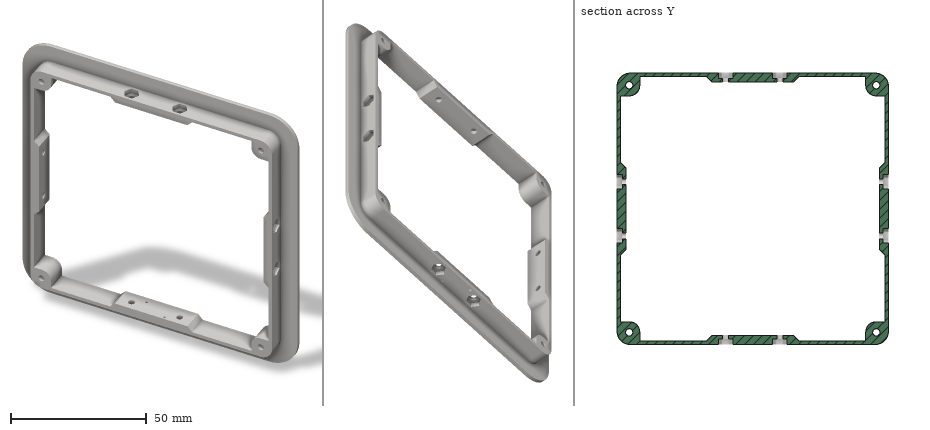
import cadquery as cq
frame_size = 114.0
frame_depth = 8.5
flange_thickness = 1.5
flange_overhang = 7.0
flange_corner_radius = 12.0

wall_thickness = 1.5
collar_size = frame_size - 2 * flange_overhang
collar_corner_radius = flange_corner_radius - flange_overhang
collar_depth = frame_depth - flange_thickness
opening_size = collar_size - 2 * wall_thickness

boss_hole_diameter = 2.5
boss_hole_inset = 4.6
boss_radius = 4.0
boss_centre = collar_size / 2 - boss_hole_inset

pad_height = 2.0
pad_base_length = 34.0
pad_top_length = 30.0
padded_wall_thickness = wall_thickness + pad_height

screw_diameter = 2.5
screw_spacing = 20.0
nut_corner_diameter = 6.0
nut_pocket_depth = 2.0
screw_y = collar_depth / 2

pin_diameter = 1.0
pin_spacing_x = 10.0
pin_spacing_y = 5.0

SIDE_ANGLES = (0, 90, 180, 270)


def rounded_plate(size, radius, start_y, depth):
    """Square plate with rounded corners, extending from start_y toward +Y."""
    return (
        cq.Workplane("XY")
        .box(size, depth, size, centered=(True, False, True))
        .edges("|Y")
        .fillet(radius)
        .translate((0, start_y, 0))
    )


def around_frame(shape, angle):
    """Turn a shape about the frame centre to another side or corner."""
    return shape.rotate((0, 0, 0), (0, 1, 0), angle)


def pad():
    """Bevelled pad on the inner face of the lower wall."""
    base_z = -opening_size / 2
    overlap = wall_thickness / 2
    return (
        cq.Workplane("XZ")
        .moveTo(-pad_base_length / 2, base_z - overlap)
        .lineTo(-pad_base_length / 2, base_z)
        .lineTo(-pad_top_length / 2, base_z + pad_height)
        .lineTo(pad_top_length / 2, base_z + pad_height)
        .lineTo(pad_base_length / 2, base_z)
        .lineTo(pad_base_length / 2, base_z - overlap)
        .close()
        .extrude(-frame_depth)
    )


def corner_boss():
    """Boss filling one inner corner, rounded toward the opening."""
    inner_edge = boss_centre - boss_radius
    size = opening_size / 2 + wall_thickness / 2 - inner_edge
    return (
        cq.Workplane("XY")
        .box(size, frame_depth, size, centered=False)
        .edges("|Y and <X and <Z")
        .fillet(boss_radius)
        .translate((inner_edge, 0, inner_edge))
    )


def boss_hole():
    """Screw hole through one corner boss."""
    return (
        cq.Workplane("XZ")
        .center(boss_centre, boss_centre)
        .circle(boss_hole_diameter / 2)
        .extrude(-frame_depth)
    )


def screw_cutter():
    """Two screw holes through the lower wall and pad, with outer nut pockets."""
    outer = cq.Workplane("XY", origin=(0, screw_y, -collar_size / 2))
    centres = [(-screw_spacing / 2, 0), (screw_spacing / 2, 0)]
    holes = outer.pushPoints(centres).circle(screw_diameter / 2).extrude(padded_wall_thickness)
    pockets = outer.pushPoints(centres).polygon(6, nut_corner_diameter).extrude(nut_pocket_depth)
    return holes.union(pockets)


def pin_cutter():
    """Two pin holes through the lower pad and wall."""
    pad_face = cq.Workplane("XY", origin=(0, screw_y, pad_height - opening_size / 2))
    centres = [(-pin_spacing_x / 2, pin_spacing_y / 2), (pin_spacing_x / 2, -pin_spacing_y / 2)]
    return pad_face.pushPoints(centres).circle(pin_diameter / 2).extrude(-padded_wall_thickness)


flange = rounded_plate(frame_size, flange_corner_radius, collar_depth, flange_thickness)
collar = rounded_plate(collar_size, collar_corner_radius, 0, frame_depth)
opening = cq.Workplane("XY").box(opening_size, frame_depth, opening_size, centered=(True, False, True))
frame = flange.union(collar).cut(opening)

for angle in SIDE_ANGLES:
    frame = frame.union(around_frame(pad(), angle))
    corner = around_frame(corner_boss(), angle)
    frame = frame.union(corner.intersect(collar))

for angle in SIDE_ANGLES:
    frame = frame.cut(around_frame(screw_cutter(), angle))
    frame = frame.cut(around_frame(boss_hole(), angle))

result = frame.cut(pin_cutter())